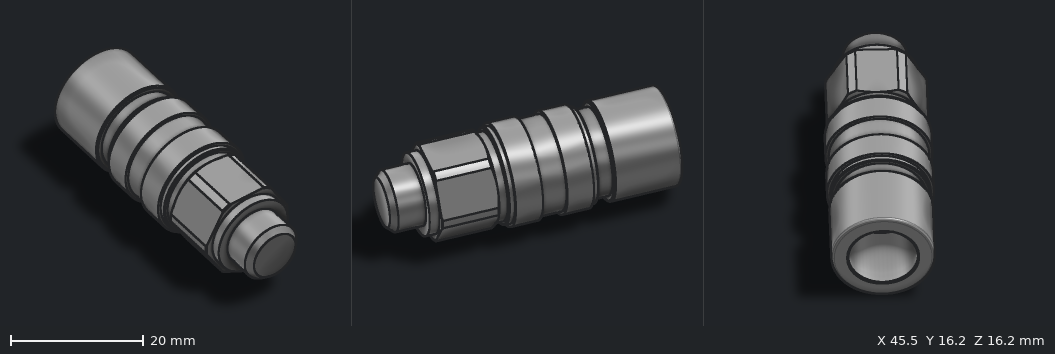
import cadquery as cq
import math

body_end = 10.95
front_groove_end = 13.38
front_collar_end = 14.35
front_ring_end = 18.55
middle_groove_end = 22.48
rear_ring_end = 26.8
rear_collar_end = 27.75
hex_start = 29.07
hex_end = 38.45
flange_end = 40.05
total_length = 45.5

body_diameter = 15.7
front_groove_diameter = 13.9
collar_diameter = 15.2
ring_diameter = 16.2
neck_diameter = 14.0
flange_diameter = 13.0
nose_diameter = 9.75

body_front_fillet = 0.45
body_rear_chamfer = 0.25
collar_chamfer = 0.15
nose_chamfer_length = 1.05
nose_chamfer_depth = 0.95

hex_across_flats = neck_diameter
hex_corner_diameter = 15.4
hex_front_chamfer = 0.4
hex_rear_chamfer = 0.15

bore_diameter = 10.5
bore_mouth_chamfer = 0.2
bore_depth = body_end
inner_bore_diameter = 9.1
inner_bore_depth = front_ring_end


def cylinder(start, end, diameter):
    """Cylinder on the X axis between two axial stations."""
    return cq.Workplane("YZ", origin=(start, 0, 0)).circle(diameter / 2).extrude(end - start)


def make_body():
    body = cylinder(0, body_end, body_diameter)
    body = body.faces("<X").edges().fillet(body_front_fillet)
    return body.faces(">X").edges().chamfer(body_rear_chamfer)


def make_hexagon():
    length = hex_end - hex_start
    corner_to_corner = hex_across_flats / math.cos(math.pi / 6)
    prism = cq.Workplane("YZ", origin=(hex_start, 0, 0)).polygon(6, corner_to_corner).extrude(length)
    front_chamfer_depth = (hex_corner_diameter - neck_diameter) / 2
    envelope = cylinder(hex_start, hex_end, hex_corner_diameter)
    envelope = envelope.faces("<X").edges().chamfer(hex_front_chamfer, front_chamfer_depth)
    envelope = envelope.faces(">X").edges().chamfer(hex_rear_chamfer)
    return prism.intersect(envelope)


def make_nose():
    nose = cylinder(flange_end, total_length, nose_diameter)
    return nose.faces(">X").edges().chamfer(nose_chamfer_length, nose_chamfer_depth)


def make_bore():
    outer_bore = cylinder(0, bore_depth, bore_diameter)
    inner_bore = cylinder(0, inner_bore_depth, inner_bore_diameter)
    return outer_bore.union(inner_bore)


front_collar = cylinder(front_groove_end, front_collar_end, collar_diameter)
rear_collar = cylinder(rear_ring_end, rear_collar_end, collar_diameter)

solids = [
    cylinder(body_end, front_groove_end, front_groove_diameter),
    front_collar.faces("<X").edges().chamfer(collar_chamfer),
    cylinder(front_collar_end, front_ring_end, ring_diameter),
    cylinder(front_ring_end, middle_groove_end, collar_diameter),
    cylinder(middle_groove_end, rear_ring_end, ring_diameter),
    rear_collar.faces(">X").edges().chamfer(collar_chamfer),
    cylinder(rear_collar_end, hex_start, neck_diameter),
    make_hexagon(),
    cylinder(hex_end, flange_end, flange_diameter),
    make_nose(),
]

result = make_body()
for solid in solids:
    result = result.union(solid)
result = result.cut(make_bore())
bore_mouth_edge = cq.selectors.RadiusNthSelector(0)
result = result.faces("<X").edges(bore_mouth_edge).chamfer(bore_mouth_chamfer)